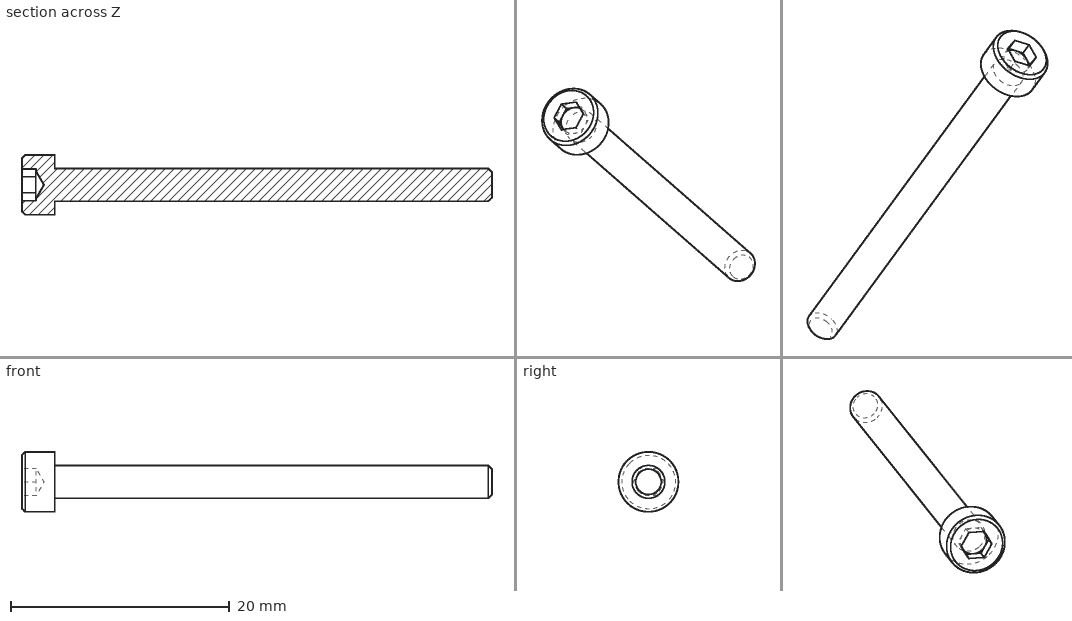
import cadquery as cq
import math

total_length = 43.0
head_diameter = 5.5
head_height = 3.0
head_edge_chamfer = 0.3
shank_diameter = 3.0
tip_chamfer = 0.35
socket_across_flats = 2.5
socket_depth = 1.3
socket_cone_angle = 120.0

head_face_x = -total_length / 2
socket_across_corners = socket_across_flats / math.cos(math.radians(30))


def cylinder_along_x(diameter, length):
    return cq.Workplane("YZ", origin=(head_face_x, 0, 0)).circle(diameter / 2).extrude(length)


def make_head():
    return cylinder_along_x(head_diameter, head_height).faces("<X").chamfer(head_edge_chamfer)


def make_shank():
    return cylinder_along_x(shank_diameter, total_length).faces(">X").chamfer(tip_chamfer)


def make_socket():
    hexagon = (
        cq.Workplane("YZ", origin=(head_face_x, 0, 0))
        .polygon(6, socket_across_corners)
        .extrude(socket_depth)
    )
    cone_radius = socket_across_flats / 2
    cone_depth = cone_radius / math.tan(math.radians(socket_cone_angle / 2))
    drill_point = cq.Workplane(
        cq.Solid.makeCone(
            cone_radius,
            0,
            cone_depth,
            cq.Vector(head_face_x + socket_depth, 0, 0),
            cq.Vector(1, 0, 0),
        )
    )
    return hexagon.union(drill_point)


result = make_head().union(make_shank()).cut(make_socket())